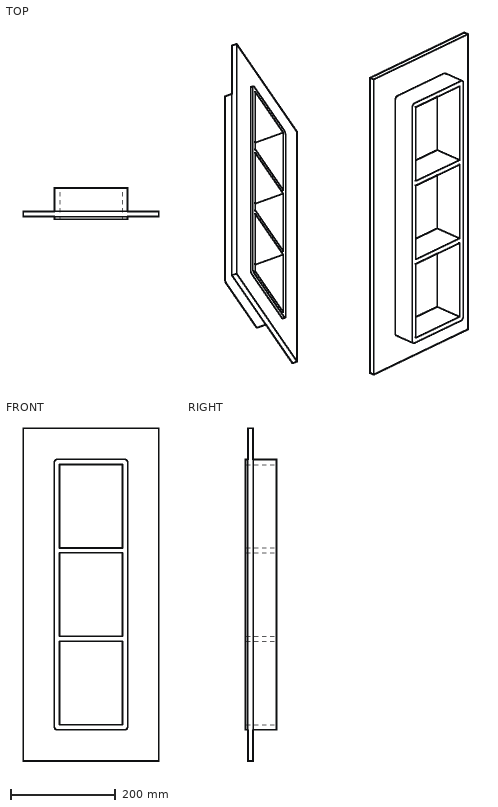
import cadquery as cq

flange_width = 260.5
flange_height = 638.5
flange_thickness = 10.0
flange_border = 60.0

frame_depth = 60.0
frame_front_projection = 5.0
frame_corner_radius = 6.0
frame_width = flange_width - 2 * flange_border
frame_height = flange_height - 2 * flange_border

opening_count = 3
wall_thickness = 10.0
opening_width = frame_width - 2 * wall_thickness
opening_height = (frame_height - (opening_count + 1) * wall_thickness) / opening_count
opening_pitch = opening_height + wall_thickness


def block_from(front_y, width, depth, height):
    """Box centred on X and Z that runs toward +Y from front_y."""
    box = cq.Workplane("XY").box(width, depth, height, centered=(True, False, True))
    return box.translate((0, front_y, 0))


def make_flange():
    return block_from(0, flange_width, flange_thickness, flange_height)


def make_frame():
    """Frame block with its four long corners rounded."""
    block = block_from(-frame_front_projection, frame_width, frame_depth, frame_height)
    return block.edges("|Y").fillet(frame_corner_radius)


def make_opening(index):
    """Through opening, counted upward from the bottom."""
    center_z = (index - (opening_count - 1) / 2) * opening_pitch
    opening = block_from(-frame_front_projection, opening_width, frame_depth, opening_height)
    return opening.translate((0, 0, center_z))


result = make_flange().union(make_frame())
for opening_index in range(opening_count):
    result = result.cut(make_opening(opening_index))